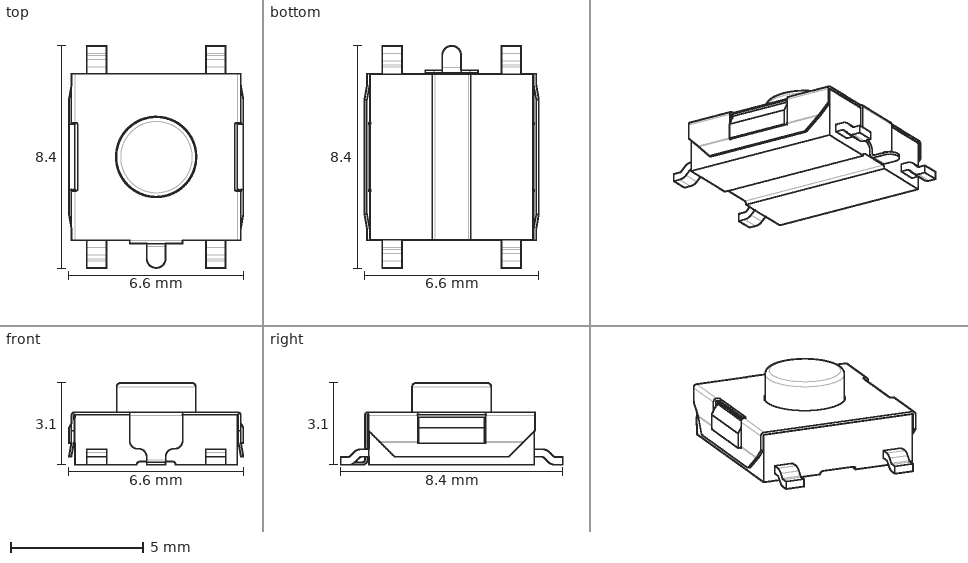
import cadquery as cq
import math


ARC_MIDDLE = math.sqrt(0.5)

TERMINAL_SPAN = 8.4
TERMINAL_REACH = TERMINAL_SPAN / 2
TOTAL_HEIGHT = 3.1

SHEET = 0.1
COVER_TOP = 2.0
COVER_WIDTH = 6.4
COVER_DEPTH = 6.3
WALL_X = COVER_WIDTH / 2
COVER_Y = COVER_DEPTH / 2
FOLD_GAP = 0.03
FOLD_RADIUS = FOLD_GAP + SHEET
FLARE = 0.1
FLARE_TOP = 0.88
FLARE_BOTTOM = 0.31
FLARE_BEND_RADIUS = 0.2
TRIM_TOP = 1.3
BUTTON_HOLE_DIAMETER = 3.06

WINDOW_WIDTH = 2.58
WINDOW_X = 2.97
WINDOW_BOTTOM = 0.82
WINDOW_CORNER_RADIUS = 0.07

TAB_WIDTH = 2.0
TAB_Y = COVER_Y + FOLD_RADIUS
TAB_SHOULDER_Z = 0.61
TAB_SHOULDER_RADIUS = 0.3
FOOT_WIDTH = 0.72
FOOT_BEND_RADIUS = 0.2

HOUSING_WIDTH = 6.14
HOUSING_DEPTH = 6.25
HOUSING_TOP = COVER_TOP - SHEET
GROOVE_WIDTH = 1.46
GROOVE_HEIGHT = 0.12
GROOVE_CORNER_RADIUS = 0.1
HOUSING_X = HOUSING_WIDTH / 2
HOUSING_Y = HOUSING_DEPTH / 2

LATCH_WIDTH = 2.48
LATCH_X = WALL_X + FLARE
LATCH_TOP = 1.81
LATCH_SHOULDER_Z = 1.4

BUTTON_DIAMETER = 3.0
BUTTON_ROUND = 0.15

TERMINAL_PITCH = 4.5
TERMINAL_WIDTH = 0.75
TERMINAL_SHEET = 0.3
TERMINAL_RISE = 0.3
TERMINAL_INNER_RADIUS = 0.1
TERMINAL_OUTER_RADIUS = TERMINAL_INNER_RADIUS + TERMINAL_SHEET
TERMINAL_SLOPE = math.radians(45)
TERMINAL_FOOT = 0.28


def block(x_range, y_range, z_range):
    """Box between the given limits."""
    (x0, x1), (y0, y1), (z0, z1) = x_range, y_range, z_range
    return cq.Workplane("XY").box(x1 - x0, y1 - y0, z1 - z0, centered=False).translate((x0, y0, z0))


def both_sides(shape):
    """The shape on the +X side together with its mirror image on the -X side."""
    return shape.union(shape.mirror("YZ"))



def latch():
    """Snap wedge on the +X face of the housing."""
    outline = (
        cq.Workplane("XZ")
        .moveTo(0, WINDOW_BOTTOM)
        .lineTo(LATCH_X, WINDOW_BOTTOM)
        .lineTo(LATCH_X, LATCH_SHOULDER_Z)
        .lineTo(HOUSING_X, LATCH_TOP)
        .lineTo(0, LATCH_TOP)
        .close()
    )
    return outline.extrude(LATCH_WIDTH / 2, both=True)


def make_housing():
    """Block with a latch on each side and a groove along Y under it, clear of the tab's foot."""
    body = block((-HOUSING_X, HOUSING_X), (-HOUSING_Y, HOUSING_Y), (0, HOUSING_TOP))
    half_groove = GROOVE_WIDTH / 2
    groove = block((-half_groove, half_groove), (-HOUSING_Y, HOUSING_Y), (0, GROOVE_HEIGHT))
    groove = groove.edges("|Y and >Z").fillet(GROOVE_CORNER_RADIUS)
    return body.cut(groove).union(both_sides(latch()))



def fold(plane, edge, width):
    """Quarter-round sheet bend from the top plate down to a wall whose outer face is at `edge`."""
    start = edge - FOLD_RADIUS
    turn = COVER_TOP - FOLD_RADIUS
    return (
        cq.Workplane(plane)
        .moveTo(start, COVER_TOP)
        .threePointArc((start + FOLD_RADIUS * ARC_MIDDLE, turn + FOLD_RADIUS * ARC_MIDDLE), (edge, turn))
        .lineTo(edge - SHEET, turn)
        .threePointArc(
            (start + FOLD_GAP * ARC_MIDDLE, turn + FOLD_GAP * ARC_MIDDLE), (start, COVER_TOP - SHEET)
        )
        .close()
        .extrude(width / 2, both=True)
    )


def side_wall():
    """Folded +X wall: straight, then flared outwards, with lower corners trimmed at 45 degrees."""
    turn = COVER_TOP - FOLD_RADIUS
    wall = (
        cq.Workplane("XZ")
        .moveTo(WALL_X, turn)
        .lineTo(WALL_X, FLARE_TOP)
        .lineTo(WALL_X + FLARE, FLARE_BOTTOM)
        .lineTo(WALL_X + FLARE - SHEET, FLARE_BOTTOM)
        .lineTo(WALL_X - SHEET, FLARE_TOP)
        .lineTo(WALL_X - SHEET, turn)
        .close()
        .extrude(COVER_Y, both=True)
    )
    bend = cq.selectors.BoxSelector(
        (WALL_X - 2 * SHEET, -COVER_DEPTH, FLARE_TOP - SHEET),
        (WALL_X + SHEET, COVER_DEPTH, FLARE_TOP + SHEET),
    )
    wall = wall.edges(bend).edges("|Y").fillet(FLARE_BEND_RADIUS)
    trimmed_y = COVER_Y - (TRIM_TOP - FLARE_BOTTOM)
    silhouette = (
        cq.Workplane("YZ")
        .moveTo(-COVER_Y, COVER_TOP)
        .lineTo(-COVER_Y, TRIM_TOP)
        .lineTo(-trimmed_y, FLARE_BOTTOM)
        .lineTo(trimmed_y, FLARE_BOTTOM)
        .lineTo(COVER_Y, TRIM_TOP)
        .lineTo(COVER_Y, COVER_TOP)
        .close()
        .extrude(2 * WALL_X)
    )
    return wall.intersect(silhouette).union(fold("XZ", WALL_X, COVER_DEPTH))


def window():
    """Opening through the fold and the wall on the +X side."""
    half = WINDOW_WIDTH / 2
    opening = block((WINDOW_X, 2 * WALL_X), (-half, half), (WINDOW_BOTTOM, COVER_TOP))
    return opening.edges("|Z and <X").fillet(WINDOW_CORNER_RADIUS)


def tab_wall():
    """Upright part of the ground tab, narrowing to the foot through two S-shaped shoulders."""
    r = TAB_SHOULDER_RADIUS
    diagonal = r * ARC_MIDDLE
    half_tab = TAB_WIDTH / 2
    half_foot = FOOT_WIDTH / 2
    outer_x = half_tab - r
    inner_x = half_foot + r
    top = COVER_TOP - FOLD_RADIUS
    upper = TAB_SHOULDER_Z + r
    lower = TAB_SHOULDER_Z - r
    return (
        cq.Workplane("XZ", origin=(0, -TAB_Y, 0))
        .moveTo(-half_tab, top)
        .lineTo(-half_tab, upper)
        .threePointArc((-outer_x - diagonal, upper - diagonal), (-outer_x, TAB_SHOULDER_Z))
        .lineTo(-inner_x, TAB_SHOULDER_Z)
        .threePointArc((-inner_x + diagonal, lower + diagonal), (-half_foot, lower))
        .lineTo(-half_foot, FOOT_BEND_RADIUS)
        .lineTo(half_foot, FOOT_BEND_RADIUS)
        .lineTo(half_foot, lower)
        .threePointArc((inner_x - diagonal, lower + diagonal), (inner_x, TAB_SHOULDER_Z))
        .lineTo(outer_x, TAB_SHOULDER_Z)
        .threePointArc((outer_x + diagonal, upper - diagonal), (half_tab, upper))
        .lineTo(half_tab, top)
        .close()
        .extrude(-SHEET)
    )


def tab_foot():
    """Foot bent forwards from the tab, with a round end."""
    inside = -TAB_Y + SHEET
    centre_y = inside - FOOT_BEND_RADIUS
    inner = FOOT_BEND_RADIUS - SHEET
    strip = (
        cq.Workplane("YZ")
        .moveTo(inside, FOOT_BEND_RADIUS)
        .threePointArc(
            (centre_y + FOOT_BEND_RADIUS * ARC_MIDDLE, FOOT_BEND_RADIUS * (1 - ARC_MIDDLE)), (centre_y, 0)
        )
        .lineTo(-TERMINAL_REACH, 0)
        .lineTo(-TERMINAL_REACH, SHEET)
        .lineTo(centre_y, SHEET)
        .threePointArc(
            (centre_y + inner * ARC_MIDDLE, FOOT_BEND_RADIUS - inner * ARC_MIDDLE),
            (-TAB_Y, FOOT_BEND_RADIUS),
        )
        .close()
        .extrude(FOOT_WIDTH / 2, both=True)
    )
    end_radius = FOOT_WIDTH / 2
    round_y = -TERMINAL_REACH + end_radius
    outline = (
        cq.Workplane("XY")
        .moveTo(-end_radius, 0)
        .lineTo(-end_radius, round_y)
        .threePointArc((0, -TERMINAL_REACH), (end_radius, round_y))
        .lineTo(end_radius, 0)
        .close()
        .extrude(COVER_TOP)
    )
    return strip.intersect(outline)


def make_cover():
    """Sheet-metal cover: top plate, two side walls with windows, and the ground tab."""
    plate_x = WALL_X - FOLD_RADIUS
    plate = block((-plate_x, plate_x), (-COVER_Y, COVER_Y), (HOUSING_TOP, COVER_TOP))
    button_hole = cq.Workplane("XY").circle(BUTTON_HOLE_DIAMETER / 2).extrude(TOTAL_HEIGHT)
    tab_fold = fold("YZ", TAB_Y, TAB_WIDTH).mirror("XZ")
    tab = tab_fold.union(tab_wall()).union(tab_foot())
    shell = plate.union(both_sides(side_wall())).union(tab)
    return shell.cut(button_hole).cut(both_sides(window()))



def make_button():
    """Round button standing on the housing."""
    return (
        cq.Workplane("XY", origin=(0, 0, HOUSING_TOP))
        .circle(BUTTON_DIAMETER / 2)
        .extrude(TOTAL_HEIGHT - HOUSING_TOP)
        .faces(">Z")
        .edges()
        .fillet(BUTTON_ROUND)
    )



def make_terminal(side_x, side_y):
    """Gull-wing strip bent down from the housing wall to its foot."""
    inner = TERMINAL_INNER_RADIUS
    outer = TERMINAL_OUTER_RADIUS
    sine = math.sin(TERMINAL_SLOPE)
    cosine = math.cos(TERMINAL_SLOPE)
    half_sine = math.sin(TERMINAL_SLOPE / 2)
    half_cosine = math.cos(TERMINAL_SLOPE / 2)

    slope_drop = TERMINAL_RISE - (inner + outer) * (1 - cosine)
    upper_z = TERMINAL_RISE - inner
    lower_z = outer
    lower_y = TERMINAL_REACH - TERMINAL_FOOT
    upper_y = lower_y - (inner + outer) * sine - slope_drop * cosine / sine

    strip = (
        cq.Workplane("YZ")
        .moveTo(HOUSING_Y, TERMINAL_RISE + TERMINAL_SHEET)
        .lineTo(upper_y, TERMINAL_RISE + TERMINAL_SHEET)
        .threePointArc(
            (upper_y + outer * half_sine, upper_z + outer * half_cosine),
            (upper_y + outer * sine, upper_z + outer * cosine),
        )
        .lineTo(lower_y - inner * sine, lower_z - inner * cosine)
        .threePointArc(
            (lower_y - inner * half_sine, lower_z - inner * half_cosine), (lower_y, TERMINAL_SHEET)
        )
        .lineTo(TERMINAL_REACH, TERMINAL_SHEET)
        .lineTo(TERMINAL_REACH, 0)
        .lineTo(lower_y, 0)
        .threePointArc(
            (lower_y - outer * half_sine, lower_z - outer * half_cosine),
            (lower_y - outer * sine, lower_z - outer * cosine),
        )
        .lineTo(upper_y + inner * sine, upper_z + inner * cosine)
        .threePointArc(
            (upper_y + inner * half_sine, upper_z + inner * half_cosine), (upper_y, TERMINAL_RISE)
        )
        .lineTo(HOUSING_Y, TERMINAL_RISE)
        .close()
        .extrude(TERMINAL_WIDTH / 2, both=True)
    )
    if side_y < 0:
        strip = strip.mirror("XZ")
    return strip.translate((side_x * TERMINAL_PITCH / 2, 0, 0))


housing = make_housing()
cover = make_cover()
button = make_button()
terminals = [make_terminal(side_x, side_y) for side_x in (-1, 1) for side_y in (-1, 1)]

result = cq.Compound.makeCompound(
    [housing.val(), cover.val(), button.val(), *[terminal.val() for terminal in terminals]]
)